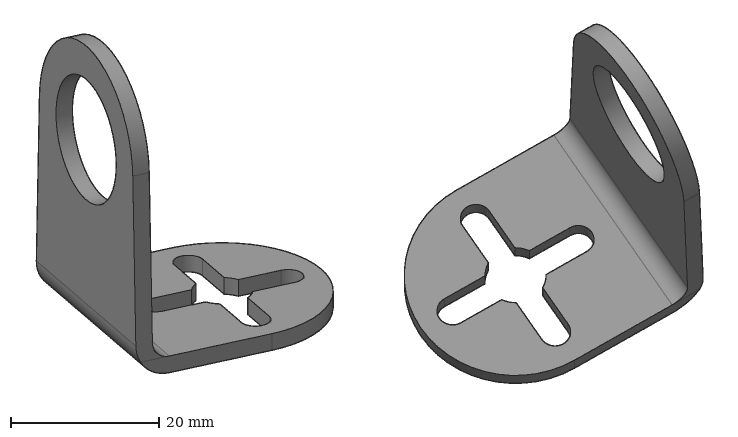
import cadquery as cq
import math

width = 30.0
depth = 35.5
height = 43.5
thickness = 2.5
inner_bend_radius = 2.5
outer_bend_radius = inner_bend_radius + thickness

base_end_radius = width / 2
base_center_y = depth - base_end_radius
slot_width = 4.2
slot_center_reach = 10.0
slot_bore_diameter = 8.2

top_radius = 14.0
hole_diameter = 18.0
hole_center_z = height - top_radius
taper_start_z = thickness


def make_bent_strip():
    """Full-width L section with concentric inner and outer bend radii."""
    bend_offset = outer_bend_radius * (1 - math.sqrt(0.5))
    inner_offset = thickness + inner_bend_radius * (1 - math.sqrt(0.5))
    return (
        cq.Workplane("YZ")
        .moveTo(0, height)
        .lineTo(0, outer_bend_radius)
        .threePointArc((bend_offset, bend_offset), (outer_bend_radius, 0))
        .lineTo(depth, 0)
        .lineTo(depth, thickness)
        .lineTo(outer_bend_radius, thickness)
        .threePointArc((inner_offset, inner_offset), (thickness, outer_bend_radius))
        .lineTo(thickness, height)
        .close()
        .extrude(width / 2, both=True)
    )


def make_base_outline():
    """Vertical prism that rounds the free end of the base."""
    half_width = width / 2
    return (
        cq.Workplane("XY")
        .moveTo(-half_width, 0)
        .lineTo(half_width, 0)
        .lineTo(half_width, base_center_y)
        .threePointArc((0, depth), (-half_width, base_center_y))
        .close()
        .extrude(height)
    )


def make_upright_outline():
    """Prism along Y with straight sides tangent to the rounded top."""
    half_width = width / 2
    rise = hole_center_z - taper_start_z
    center_distance = math.hypot(half_width, rise)
    tangent_angle = math.acos(top_radius / center_distance) - math.atan2(rise, half_width)
    tangent_x = top_radius * math.cos(tangent_angle)
    tangent_z = hole_center_z + top_radius * math.sin(tangent_angle)
    return (
        cq.Workplane("XZ")
        .moveTo(-half_width, 0)
        .lineTo(half_width, 0)
        .lineTo(half_width, taper_start_z)
        .lineTo(tangent_x, tangent_z)
        .threePointArc((0, height), (-tangent_x, tangent_z))
        .lineTo(-half_width, taper_start_z)
        .close()
        .extrude(-depth)
    )


def make_cross_slot():
    """Two crossed slots with a round bore where they meet."""
    slot_length = 2 * slot_center_reach + slot_width
    plane = cq.Workplane("XY").center(0, base_center_y)
    cross = plane.slot2D(slot_length, slot_width, 0).extrude(thickness)
    cross = cross.union(plane.slot2D(slot_length, slot_width, 90).extrude(thickness))
    center_bore = plane.circle(slot_bore_diameter / 2).extrude(thickness)
    return cross.union(center_bore)


def make_upright_hole():
    """Round hole through the upright, concentric with its rounded top."""
    return (
        cq.Workplane("XZ")
        .center(0, hole_center_z)
        .circle(hole_diameter / 2)
        .extrude(-thickness)
    )


bracket = make_bent_strip().intersect(make_base_outline()).intersect(make_upright_outline())
result = bracket.cut(make_cross_slot()).cut(make_upright_hole())